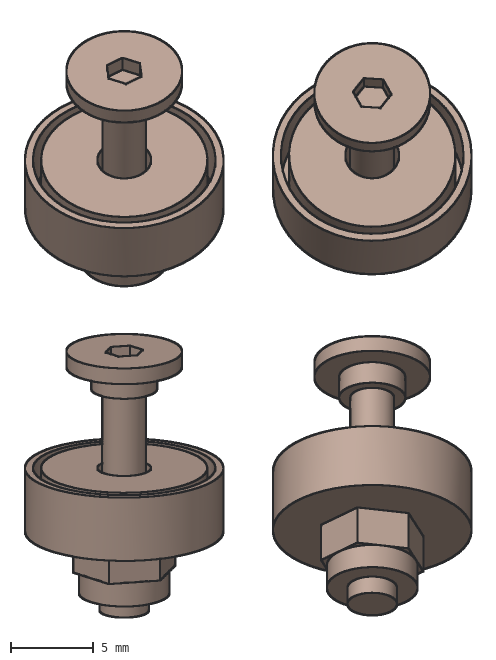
import cadquery as cq
import math

stud_top = 1.1
nut_collar_top = 2.6
nut_top = 5.0
cup_top = 9.0
shank_top = 14.0
head_bottom = 15.4
overall_height = 16.4

stud_diameter = 3.0
nut_width = 5.5
cup_diameter = 12.0
cup_wall = 0.5
groove_width = 0.5
bore_diameter = 3.25
shank_diameter = 2.65
head_collar_diameter = 4.0
head_diameter = 7.0

socket_width = 2.0
socket_depth = 1.0


def cylinder(diameter, bottom, top):
    return cq.Workplane("XY").workplane(offset=bottom).circle(diameter / 2).extrude(top - bottom)


def hexagon(width_across_flats, bottom, top):
    """Hexagonal prism with flats facing +X and -X."""
    corner_diameter = width_across_flats / math.cos(math.pi / 6)
    prism = cq.Workplane("XY").workplane(offset=bottom).polygon(6, corner_diameter).extrude(top - bottom)
    return prism.rotate((0, 0, 0), (0, 0, 1), 30)


def ring(outer_diameter, inner_diameter, bottom, top):
    return cylinder(outer_diameter, bottom, top).cut(cylinder(inner_diameter, bottom, top))


cup_floor_top = nut_top + cup_wall
groove_outer_diameter = cup_diameter - 2 * cup_wall
core_diameter = groove_outer_diameter - 2 * groove_width
cup = cylinder(cup_diameter, nut_top, cup_top)
cup = cup.cut(ring(groove_outer_diameter, core_diameter, cup_floor_top, cup_top))
cup = cup.cut(cylinder(bore_diameter, cup_floor_top, cup_top))

stud = cylinder(stud_diameter, 0, stud_top)
nut_collar = cylinder(nut_width, stud_top, nut_collar_top)
nut = hexagon(nut_width, nut_collar_top, nut_top)

shank = cylinder(shank_diameter, cup_floor_top, shank_top)
head_collar = cylinder(head_collar_diameter, shank_top, head_bottom)
head = cylinder(head_diameter, head_bottom, overall_height)
socket = hexagon(socket_width, overall_height - socket_depth, overall_height)

result = cup
for section in (stud, nut_collar, nut, shank, head_collar, head):
    result = result.union(section)
result = result.cut(socket)